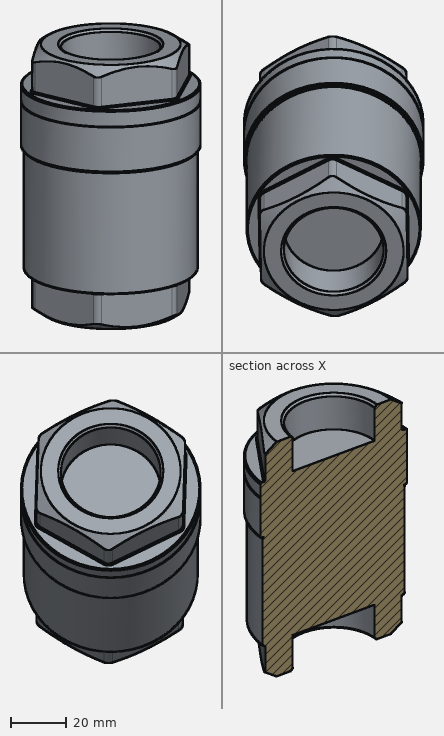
import cadquery as cq
import math

total_height = 100.0
hex_height = 15.0
collar_bottom = 61.4
collar_top = total_height - hex_height

body_diameter = 63.0
collar_diameter = 65.0
edge_chamfer = 0.5

seam_height = 78.7
seam_depth = 0.15

across_flats = 53.0
hex_sides = 6
corner_radius = 3.0
hex_root_flare = 0.5
root_flare_angle = 45.0
end_face_diameter = 50.5
end_cone_angle = 35.0

port_diameter = 36.0
port_mouth_diameter = 38.0
port_depth = hex_height


def make_turned_body():
    """Revolve the body and collar, with every outer edge chamfered."""
    body_radius = body_diameter / 2
    collar_radius = collar_diameter / 2
    return (
        cq.Workplane("XZ")
        .moveTo(0, hex_height)
        .lineTo(body_radius - edge_chamfer, hex_height)
        .lineTo(body_radius, hex_height + edge_chamfer)
        .lineTo(body_radius, collar_bottom - edge_chamfer)
        .lineTo(body_radius - edge_chamfer, collar_bottom)
        .lineTo(collar_radius - edge_chamfer, collar_bottom)
        .lineTo(collar_radius, collar_bottom + edge_chamfer)
        .lineTo(collar_radius, seam_height - seam_depth)
        .lineTo(collar_radius - seam_depth, seam_height)
        .lineTo(collar_radius, seam_height + seam_depth)
        .lineTo(collar_radius, collar_top - edge_chamfer)
        .lineTo(collar_radius - edge_chamfer, collar_top)
        .lineTo(0, collar_top)
        .close()
        .revolve(360, (0, 0, 0), (0, 1, 0))
    )


def rounded_hexagon(flats, base_height):
    """Hexagon outline with rounded corners on a plane at the given height."""
    circumradius = flats / 2 / math.cos(math.pi / hex_sides)
    outline = cq.Sketch().regularPolygon(circumradius, hex_sides).vertices().fillet(corner_radius)
    return cq.Workplane("XY").workplane(offset=base_height).placeSketch(outline)


def make_end_cone():
    """Cone that bevels the hexagon corners towards the round end face."""
    end_radius = end_face_diameter / 2
    cone_radius = end_radius + hex_height / math.tan(math.radians(end_cone_angle))
    return (
        cq.Workplane("XZ")
        .moveTo(0, collar_top)
        .lineTo(cone_radius, collar_top)
        .lineTo(end_radius, total_height)
        .lineTo(0, total_height)
        .close()
        .revolve(360, (0, 0, 0), (0, 1, 0))
    )


def make_hex_end():
    """Top hexagon with a bevelled end and a flared root."""
    prism = rounded_hexagon(across_flats, collar_top).extrude(hex_height)
    flare_flats = across_flats + 2 * hex_root_flare
    flare = rounded_hexagon(flare_flats, collar_top).extrude(hex_root_flare, taper=root_flare_angle)
    return prism.intersect(make_end_cone()).union(flare)


def make_port():
    """Blind port in the top end, with a 45 degree chamfer at its mouth."""
    port_radius = port_diameter / 2
    mouth_radius = port_mouth_diameter / 2
    port_floor = total_height - port_depth
    return (
        cq.Workplane("XZ")
        .moveTo(0, port_floor)
        .lineTo(port_radius, port_floor)
        .lineTo(port_radius, total_height - (mouth_radius - port_radius))
        .lineTo(mouth_radius, total_height)
        .lineTo(0, total_height)
        .close()
        .revolve(360, (0, 0, 0), (0, 1, 0))
    )


def mirror_to_bottom(top_shape):
    """Copy a shape from the top end onto the bottom end."""
    return top_shape.mirror("XY", (0, 0, total_height / 2))


hex_end = make_hex_end()
port = make_port()

result = make_turned_body()
result = result.union(hex_end).union(mirror_to_bottom(hex_end))
result = result.cut(port).cut(mirror_to_bottom(port))